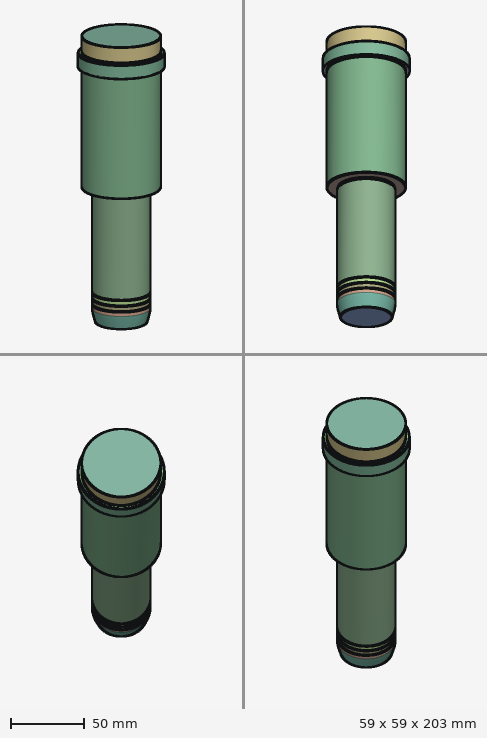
import cadquery as cq

total_height = 203.0
nose_height = 10.0
shank_top = 95.2
collar_bottom = 181.3
collar_top = 191.2

tip_diameter = 35.3
shank_diameter = 40.0
body_diameter = 54.0
collar_diameter = 59.0

nose_bulge = 0.3
edge_chamfer = 0.6
rim_chamfer = 0.5
shank_relief_width = 1.6
shank_relief_depth = 0.6
collar_relief_width = 1.0
collar_relief_depth = 0.5
ring_groove_width = 1.0
ring_groove_depth = 0.5
ring_groove_count = 3
ring_groove_pitch = 4.0
first_ring_groove_center = 13.2


def cylinder(diameter, bottom, top):
    """Cylinder on the Z axis between two heights."""
    return cq.Workplane("XY").workplane(offset=bottom).circle(diameter / 2).extrude(top - bottom)


def square_groove(diameter, depth, bottom, width):
    """Ring that cuts a square groove into a cylinder of the given diameter."""
    outer = cylinder(diameter, bottom, bottom + width)
    return outer.cut(cylinder(diameter - 2 * depth, bottom, bottom + width))


def v_groove(diameter, depth, center, width):
    """Triangular ring that cuts a V groove into a cylinder of the given diameter."""
    radius = diameter / 2
    profile = cq.Workplane("XZ").polyline(
        [(radius, center - width / 2), (radius - depth, center), (radius, center + width / 2)]
    ).close()
    return profile.revolve(360, (0, 0, 0), (0, 1, 0))


def nose():
    """Slightly bulging taper from the chamfered tip up to the shank."""
    tip_radius = tip_diameter / 2
    shank_radius = shank_diameter / 2
    middle_radius = (tip_radius + shank_radius) / 2 + nose_bulge
    profile = (
        cq.Workplane("XZ")
        .lineTo(tip_radius, 0)
        .threePointArc((middle_radius, nose_height / 2), (shank_radius, nose_height))
        .lineTo(0, nose_height)
        .close()
    )
    return profile.revolve(360, (0, 0, 0), (0, 1, 0)).faces("<Z").edges().chamfer(rim_chamfer)


shank = cylinder(shank_diameter, nose_height, shank_top)
shank_relief_bottom = shank_top - shank_relief_width
shank = shank.cut(square_groove(shank_diameter, shank_relief_depth, shank_relief_bottom, shank_relief_width))

for index in range(ring_groove_count):
    groove_center = first_ring_groove_center + index * ring_groove_pitch
    shank = shank.cut(v_groove(shank_diameter, ring_groove_depth, groove_center, ring_groove_width))

body = cylinder(body_diameter, shank_top, collar_bottom).faces("<Z").chamfer(edge_chamfer)
lower_relief_center = collar_bottom - collar_relief_width / 2
body = body.cut(v_groove(body_diameter, collar_relief_depth, lower_relief_center, collar_relief_width))
head = cylinder(body_diameter, collar_top, total_height).faces(">Z").chamfer(rim_chamfer)
upper_relief_center = collar_top + collar_relief_width / 2
head = head.cut(v_groove(body_diameter, collar_relief_depth, upper_relief_center, collar_relief_width))

collar = cylinder(collar_diameter, collar_bottom, collar_top).faces(">Z").chamfer(edge_chamfer)

result = nose().union(shank).union(body).union(collar).union(head)